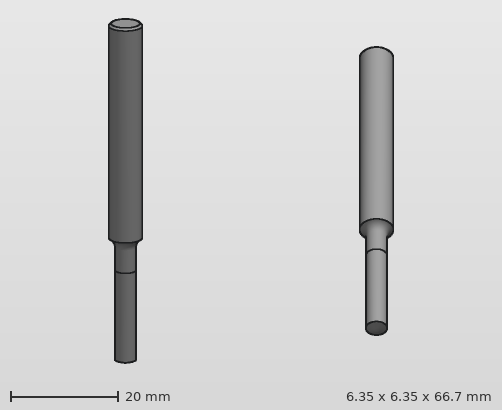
import cadquery as cq
import math

total_length = 66.7
shank_diameter = 6.35
cutter_diameter = 4.0
point_angle = 140.0
cutter_length = 18.3
neck_top = 22.8
flare_radius = 2.0
end_chamfer = 0.5

shank_radius = shank_diameter / 2
cutter_radius = cutter_diameter / 2
tip_height = cutter_radius / math.tan(math.radians(point_angle / 2))


def flare_point(radius):
    """Point at the given radius on the concave arc that leaves the neck tangentially."""
    center_radius = cutter_radius + flare_radius
    rise = math.sqrt(flare_radius**2 - (center_radius - radius) ** 2)
    return (radius, neck_top + rise)


def make_cutter():
    """Cylindrical cutting part with a conical tip."""
    return (
        cq.Workplane("XZ")
        .moveTo(0, 0)
        .lineTo(cutter_radius, tip_height)
        .lineTo(cutter_radius, cutter_length)
        .lineTo(0, cutter_length)
        .close()
        .revolve(360, (0, 0, 0), (0, 1, 0))
    )


def make_shank():
    """Shank with a chamfered top, a concave flare and a neck that meets the cutter."""
    flare_middle_radius = (cutter_radius + shank_radius) / 2
    return (
        cq.Workplane("XZ")
        .moveTo(0, cutter_length)
        .lineTo(cutter_radius, cutter_length)
        .lineTo(cutter_radius, neck_top)
        .threePointArc(flare_point(flare_middle_radius), flare_point(shank_radius))
        .lineTo(shank_radius, total_length - end_chamfer)
        .lineTo(shank_radius - end_chamfer, total_length)
        .lineTo(0, total_length)
        .close()
        .revolve(360, (0, 0, 0), (0, 1, 0))
    )


cutter = make_cutter()
shank = make_shank()

result = cq.Compound.makeCompound([cutter.val(), shank.val()])